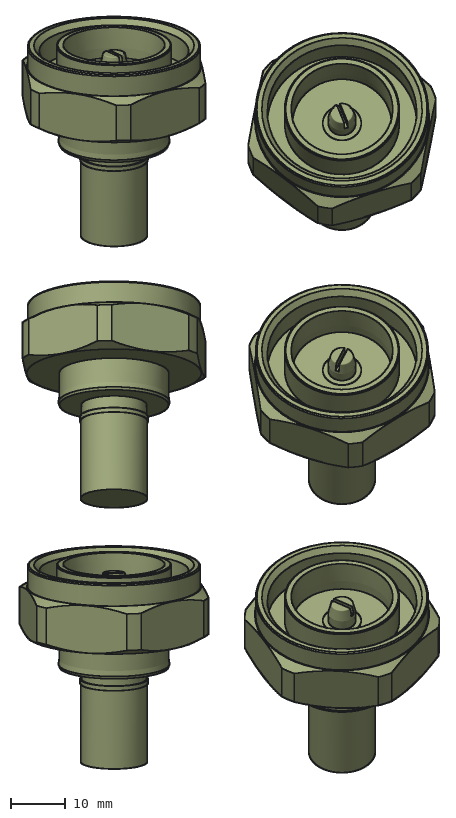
import cadquery as cq
import math


ferrule_radius = 6.1
ferrule_top = 14.65
collar_radius = 6.2
collar_top = 15.5
neck_radius = 5.95

body_radius = 10.0
body_bottom = 17.75
flare_radius = 10.15
flare_bottom = body_bottom + 0.5
flare_top = 19.25
rear_edge_radius = 9.95

hex_sides = 6
across_flats = 32.0
corner_radius = 17.75
hex_bottom = 23.75
hex_top = 32.7
hex_chamfer_angle = 30.0
hex_face_radius = across_flats / 2 - 0.1
sleeve_radius = 15.75
sleeve_top = 36.75
sleeve_chamfer = 0.25

mouth_radius = 14.6
bore_radius = 13.6
countersink_depth = mouth_radius - bore_radius
floor_z = 31.1

tube_radius = 10.45
tube_top = 36.9
tube_chamfer = 0.2
tube_mouth_radius = 9.25
tube_bore_radius = 9.0
tube_taper_bottom = 33.0

insulator_radius = 3.5
insulator_step = 0.1

pin_radius = 2.5
pin_taper_bottom = 33.1
pin_tip_radius = 2.0
pin_top = 35.25
pin_tip_fillet = 0.2
slot_width = 0.65
slot_depth = 1.65


def cylinder(radius, bottom, top):
    return cq.Workplane("XY").workplane(offset=bottom).circle(radius).extrude(top - bottom)


def revolved(profile):
    """Turn a closed (radius, z) outline about the Z axis."""
    return cq.Workplane("XZ").polyline(profile).close().revolve(360, (0, 0, 0), (0, 1, 0))


def make_cable_end():
    ferrule = cylinder(ferrule_radius, 0, ferrule_top)
    collar = cylinder(collar_radius, ferrule_top, collar_top)
    neck = cylinder(neck_radius, collar_top, body_bottom)
    return ferrule.union(collar).union(neck)


def make_body():
    return revolved([
        (0, body_bottom),
        (rear_edge_radius, body_bottom),
        (flare_radius, flare_bottom),
        (body_radius, flare_top),
        (body_radius, hex_bottom),
        (0, hex_bottom),
    ])


def make_hexagon():
    """Hexagon with two corners on the Y axis, its corners turned and chamfered."""
    across_corners = across_flats / math.cos(math.pi / hex_sides)
    prism = (
        cq.Workplane("XY")
        .workplane(offset=hex_bottom)
        .transformed(rotate=(0, 0, 90))
        .polygon(hex_sides, across_corners)
        .extrude(hex_top - hex_bottom)
    )
    chamfer_height = (corner_radius - hex_face_radius) * math.tan(math.radians(hex_chamfer_angle))
    turned_envelope = revolved([
        (0, hex_bottom),
        (hex_face_radius, hex_bottom),
        (corner_radius, hex_bottom + chamfer_height),
        (corner_radius, hex_top - chamfer_height),
        (hex_face_radius, hex_top),
        (0, hex_top),
    ])
    return prism.intersect(turned_envelope)


def make_sleeve():
    return cylinder(sleeve_radius, hex_top, sleeve_top).faces(">Z").edges().chamfer(sleeve_chamfer)


def make_mouth_cut():
    return revolved([
        (0, floor_z),
        (bore_radius, floor_z),
        (bore_radius, sleeve_top - countersink_depth),
        (mouth_radius, sleeve_top),
        (0, sleeve_top),
    ])


def make_contact_tube():
    return revolved([
        (tube_bore_radius, floor_z),
        (tube_radius, floor_z),
        (tube_radius, tube_top - tube_chamfer),
        (tube_radius - tube_chamfer, tube_top),
        (tube_mouth_radius, tube_top),
        (tube_bore_radius, tube_taper_bottom),
    ])


def make_insulator():
    return cylinder(insulator_radius, floor_z, floor_z + insulator_step)


def make_pin():
    pin = revolved([
        (0, floor_z),
        (pin_radius, floor_z),
        (pin_radius, pin_taper_bottom),
        (pin_tip_radius, pin_top),
        (0, pin_top),
    ])
    pin = pin.faces(">Z").edges().fillet(pin_tip_fillet)
    slot = (
        cq.Workplane("XY")
        .workplane(offset=pin_top - slot_depth)
        .rect(2 * pin_radius, slot_width)
        .extrude(slot_depth)
    )
    return pin.cut(slot)


result = (
    make_cable_end()
    .union(make_body())
    .union(make_hexagon())
    .union(make_sleeve())
    .cut(make_mouth_cut())
    .union(make_contact_tube())
    .union(make_insulator())
    .union(make_pin())
)